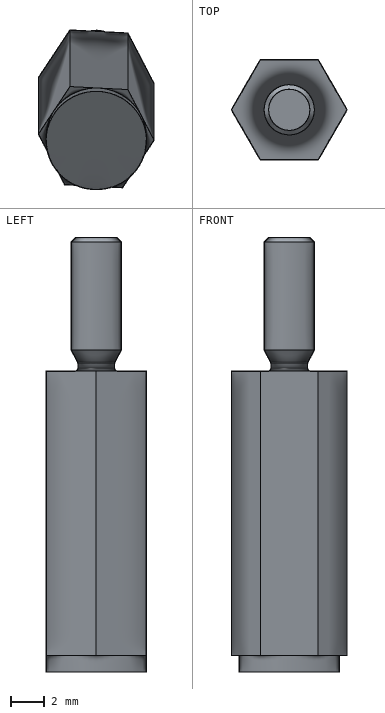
import cadquery as cq
import math

total_length = 26.0
collar_height = 1.0
stud_length = 8.0
shoulder_z = total_length - stud_length
hex_length = shoulder_z - collar_height

hex_sides = 6
across_flats = 6.0
across_corners = across_flats / math.cos(math.pi / hex_sides)
collar_diameter = across_flats

stud_radius = 3.0 / 2
tip_radius = 2.46 / 2
tip_chamfer = stud_radius - tip_radius
groove_radius = 2.2 / 2
groove_length = 1.25
groove_wall_length = 0.5
groove_fillet = 0.2


def make_body():
    """Hexagonal body, corners on the X axis, standing on the round collar."""
    collar = cq.Workplane("XY").circle(collar_diameter / 2).extrude(collar_height)
    hexagon = (
        cq.Workplane("XY")
        .workplane(offset=collar_height)
        .polygon(hex_sides, across_corners)
        .extrude(hex_length)
    )
    return collar.union(hexagon)


def make_stud():
    """Revolved stud: groove wall, groove cone, shank and tip chamfer."""
    cone_top_z = shoulder_z + groove_length
    cone_bottom_z = shoulder_z + groove_wall_length
    return (
        cq.Workplane("XZ")
        .moveTo(0, shoulder_z)
        .lineTo(groove_radius, shoulder_z)
        .lineTo(groove_radius, cone_bottom_z)
        .lineTo(stud_radius, cone_top_z)
        .lineTo(stud_radius, total_length - tip_chamfer)
        .lineTo(tip_radius, total_length)
        .lineTo(0, total_length)
        .close()
        .revolve(360, (0, 0, 0), (0, 1, 0))
    )


def round_groove(part):
    """Fillet both ends of the groove wall: at the shoulder and at the cone."""
    groove_box = cq.selectors.BoxSelector(
        (-stud_radius, -stud_radius, shoulder_z - groove_fillet),
        (stud_radius, stud_radius, shoulder_z + groove_length - groove_fillet),
        boundingbox=True,
    )
    groove_circles = part.edges("%CIRCLE").edges(groove_box)
    return groove_circles.fillet(groove_fillet)


result = round_groove(make_body().union(make_stud()))